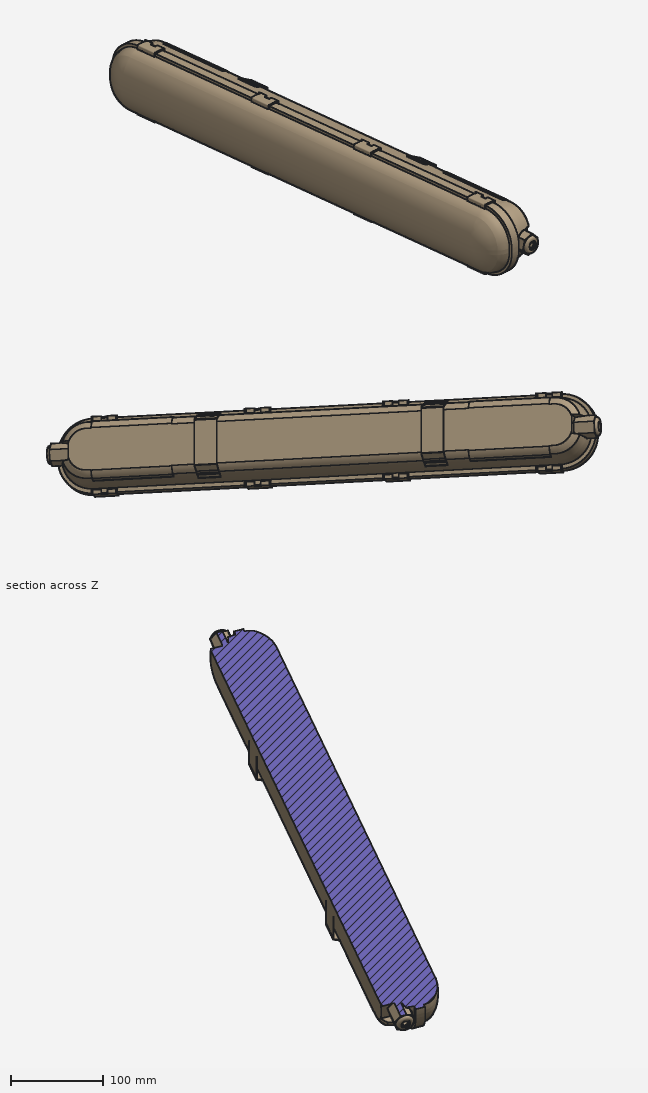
import cadquery as cq
import math

TOTAL_LENGTH = 615.0
TOTAL_DEPTH = 75.9
TOTAL_HEIGHT = 86.79
HALF_HEIGHT = TOTAL_HEIGHT / 2

CORNER_X = 261.0
CORNER_Z = 2.65
QUARTER_TURN = 90

LENS_RADIUS = 38.1 - CORNER_Z
LENS_DEPTH = 25.9
LENS_FRONT_ARC = 42.0
LENS_BLEND_ANGLE = math.radians(46)

RIM_RADIUS = 39.1
RIM_BACK_Y = 37.1

HOUSING_FRONT_RADIUS = 34.2
HOUSING_MIDDLE_RADIUS = 32.2
HOUSING_EDGE_RADIUS = 28.6
HOUSING_FLAT_RADIUS = 20.5
HOUSING_EDGE_Y = 64.8
HOUSING_BACK_Y = 70.4
EDGE_BULGE = 0.42

PAD_LENGTH = 90.0
PAD_CENTRE_X = 210.5
PAD_FRONT_Y = 59.3
PAD_THICKNESS = 0.6

CLIP_CENTRES_X = (77.0, 248.0)
CLIP_WIDTH = 25.8
CLIP_FRONT_Y = 24.2
CLIP_BACK_Y = 39.0
CLIP_INNER_Z = 38.3
CLIP_LIP_WIDTH = 29.0
CLIP_LIP_THICKNESS = 1.0
CLIP_EDGE_ROUNDING = 1.5
CLIP_NOTCH_WIDTH = 7.0
CLIP_NOTCH_DEPTH = 3.2

BRACKET_CENTRE_X = 126.5
BRACKET_WIDTH = 25.0
BRACKET_THICKNESS = 0.9
BRACKET_BACK_Z = 25.8
BRACKET_KNEE_Z = 32.7
BRACKET_KNEE_BACK_Y = 63.2
BRACKET_KNEE_FRONT_Y = 61.4
BRACKET_TIP_Z = 35.8
BRACKET_TIP_Y = 55.8

GLAND_Y = 51.1
RECESS_FLOOR_X = 281.0
RECESS_FLOOR_HALF_WIDTH = 10.3
RECESS_TAPER = 6.4
RECESS_LENGTH = 30.0
NUT_SIDES = 6
NUT_CORNER_RADIUS = 12.5
NUT_TURN = 15.0
NUT_END_X = 303.8
CAP_RADIUS = 10.4
CAP_ROUNDING = 3.0
CABLE_ENTRY_RADIUS = 5.2
CABLE_ENTRY_DEPTH = 2.0
CABLE_BORE_RADIUS = 3.0
CABLE_BORE_DEPTH = 8.0


def housing_side(profile):
    """Continue a (radius, y) profile up the housing side to the centre of its back."""
    return (
        profile
        .threePointArc(
            (HOUSING_MIDDLE_RADIUS, (RIM_BACK_Y + HOUSING_EDGE_Y) / 2),
            (HOUSING_EDGE_RADIUS, HOUSING_EDGE_Y),
        )
        .threePointArc(
            (
                HOUSING_EDGE_RADIUS - EDGE_BULGE * (HOUSING_EDGE_RADIUS - HOUSING_FLAT_RADIUS),
                HOUSING_BACK_Y - EDGE_BULGE * (HOUSING_BACK_Y - HOUSING_EDGE_Y),
            ),
            (HOUSING_FLAT_RADIUS, HOUSING_BACK_Y),
        )
        .lineTo(0, HOUSING_BACK_Y)
    )


def body_profile(plane):
    """Half section of lens, rim and housing, measured outward from a corner centre."""
    def front_arc_point(angle):
        return LENS_FRONT_ARC * math.sin(angle), LENS_FRONT_ARC * (1 - math.cos(angle))

    profile = (
        cq.Workplane(plane)
        .threePointArc(front_arc_point(LENS_BLEND_ANGLE / 2), front_arc_point(LENS_BLEND_ANGLE))
        .tangentArcPoint((LENS_RADIUS, LENS_DEPTH), relative=False)
        .lineTo(RIM_RADIUS, LENS_DEPTH)
        .lineTo(RIM_RADIUS, RIM_BACK_Y)
        .lineTo(HOUSING_FRONT_RADIUS, RIM_BACK_Y)
    )
    return housing_side(profile).close()


def both_ends(shape):
    return shape.union(shape.mirror("YZ"))


def both_sides(shape):
    return shape.union(shape.mirror("XY"))


def outward_z_plane(start_x, offset_z):
    """Plane with local x along +Z and local y along +Y; extruding goes toward -X."""
    return cq.Plane(origin=(start_x, 0, offset_z), xDir=(0, 0, 1), normal=(-1, 0, 0))


def make_body():
    core = cq.Workplane("XY").box(2 * CORNER_X, HOUSING_BACK_Y, 2 * CORNER_Z)
    core = core.translate((0, HOUSING_BACK_Y / 2, 0))
    side = body_profile(outward_z_plane(CORNER_X, CORNER_Z)).extrude(2 * CORNER_X)
    end = body_profile(cq.Plane(origin=(CORNER_X, 0, -CORNER_Z))).extrude(2 * CORNER_Z)
    corner = body_profile(cq.Plane(origin=(CORNER_X, 0, CORNER_Z))).revolve(QUARTER_TURN, (0, 0), (0, -1))
    body = core.union(both_sides(side)).union(both_ends(end))
    return body.union(both_ends(both_sides(corner)))


def make_pads():
    start_x = PAD_CENTRE_X + PAD_LENGTH / 2
    profile = cq.Workplane(outward_z_plane(start_x, CORNER_Z + PAD_THICKNESS))
    profile = profile.moveTo(0, RIM_BACK_Y).lineTo(HOUSING_FRONT_RADIUS, RIM_BACK_Y)
    shell = housing_side(profile).close().extrude(PAD_LENGTH)
    depth = HOUSING_BACK_Y - PAD_FRONT_Y
    limits = cq.Workplane("XY").box(PAD_LENGTH, depth, TOTAL_HEIGHT)
    limits = limits.translate((PAD_CENTRE_X, PAD_FRONT_Y + depth / 2, 0))
    return both_ends(both_sides(shell.intersect(limits)))


def make_clip(centre_x):
    height = HALF_HEIGHT - CLIP_INNER_Z
    depth = CLIP_BACK_Y - CLIP_FRONT_Y

    def block(width, front_y, size_y):
        shape = cq.Workplane("XY").box(width, size_y, height)
        return shape.translate((centre_x, front_y + size_y / 2, CLIP_INNER_Z + height / 2))

    lip = block(CLIP_LIP_WIDTH, CLIP_BACK_Y - CLIP_LIP_THICKNESS, CLIP_LIP_THICKNESS)
    notch = block(CLIP_NOTCH_WIDTH, CLIP_BACK_Y - CLIP_NOTCH_DEPTH, CLIP_NOTCH_DEPTH)
    clip = block(CLIP_WIDTH, CLIP_FRONT_Y, depth)
    clip = clip.edges("|X and <Y and >Z").fillet(CLIP_EDGE_ROUNDING)
    return clip.union(lip).cut(notch)


def make_brackets():
    def filled(inset):
        half = [
            (BRACKET_TIP_Z - inset, BRACKET_TIP_Y),
            (BRACKET_KNEE_Z - inset, BRACKET_KNEE_FRONT_Y),
            (BRACKET_KNEE_Z - inset, BRACKET_KNEE_BACK_Y),
            (BRACKET_BACK_Z - inset, TOTAL_DEPTH - inset),
        ]
        other_half = [(-z, y) for z, y in reversed(half)]
        plane = outward_z_plane(BRACKET_CENTRE_X + BRACKET_WIDTH / 2, 0)
        return cq.Workplane(plane).polyline(half + other_half).close().extrude(BRACKET_WIDTH)

    return both_ends(filled(0).cut(filled(BRACKET_THICKNESS)))


def end_plane(x):
    """Plane facing +X at the gland axis, with local x along +Y and local y along +Z."""
    return cq.Plane(origin=(x, GLAND_Y, 0), xDir=(0, 1, 0), normal=(1, 0, 0))


def make_recess():
    open_end = HOUSING_BACK_Y + RECESS_FLOOR_HALF_WIDTH - GLAND_Y
    outline = (
        cq.Workplane(end_plane(RECESS_FLOOR_X))
        .moveTo(open_end, RECESS_FLOOR_HALF_WIDTH)
        .lineTo(0, RECESS_FLOOR_HALF_WIDTH)
        .threePointArc((-RECESS_FLOOR_HALF_WIDTH, 0), (0, -RECESS_FLOOR_HALF_WIDTH))
        .lineTo(open_end, -RECESS_FLOOR_HALF_WIDTH)
        .close()
    )
    return outline.extrude(RECESS_LENGTH, taper=-RECESS_TAPER)


def make_gland():
    end_x = TOTAL_LENGTH / 2
    nut = cq.Workplane(end_plane(RECESS_FLOOR_X)).polygon(NUT_SIDES, 2 * NUT_CORNER_RADIUS)
    nut = nut.extrude(NUT_END_X - RECESS_FLOOR_X)
    nut = nut.rotate((0, GLAND_Y, 0), (1, GLAND_Y, 0), NUT_TURN)
    cap = cq.Workplane(end_plane(NUT_END_X)).circle(CAP_RADIUS).extrude(end_x - NUT_END_X)
    cap = cap.faces(">X").edges().fillet(CAP_ROUNDING)
    entry = cq.Workplane(end_plane(end_x)).circle(CABLE_ENTRY_RADIUS).extrude(-CABLE_ENTRY_DEPTH)
    bore = cq.Workplane(end_plane(end_x)).circle(CABLE_BORE_RADIUS).extrude(-CABLE_BORE_DEPTH)
    return nut.union(cap).cut(entry).cut(bore)


result = make_body().union(make_pads()).union(make_brackets())
for clip_x in CLIP_CENTRES_X:
    result = result.union(both_ends(both_sides(make_clip(clip_x))))
result = result.cut(both_ends(make_recess())).union(both_ends(make_gland()))